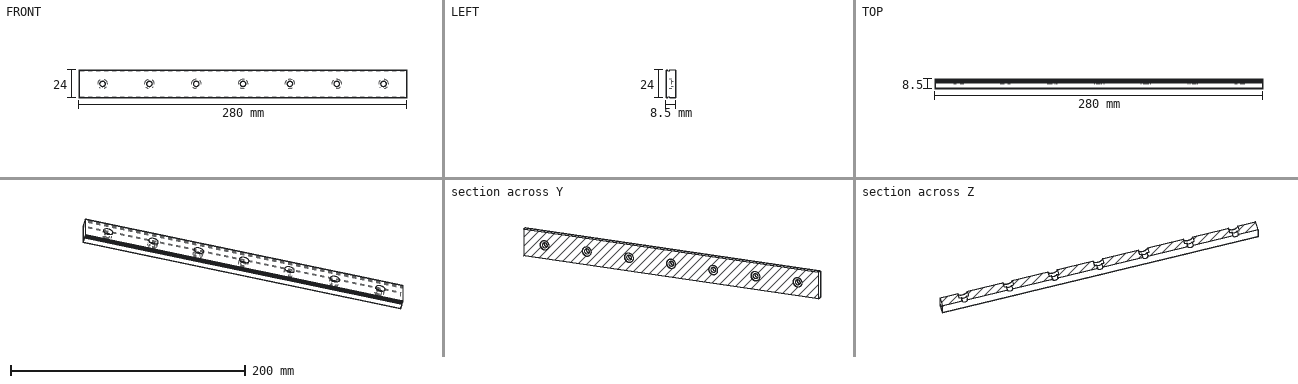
import cadquery as cq

length = 280
thickness = 8.5
width = 24.0
edge_chamfer = 0.5

groove_offset_y = 2.1
groove_depth = 0.8
groove_mouth = 2.2
groove_floor = 1.0

hole_count = 7
hole_pitch = length / hole_count
hole_diameter = 4.5
counterbore_diameter = 8.0
counterbore_depth = 4.5


def rail_body():
    body = cq.Workplane("XY").box(length, thickness, width)
    return body.edges("|X").chamfer(edge_chamfer)


def running_groove():
    """Groove along the +Z edge: a trapezoid narrowing towards its floor."""
    mouth_z = width / 2
    floor_z = mouth_z - groove_depth
    profile = [
        (groove_offset_y - groove_mouth / 2, mouth_z),
        (groove_offset_y - groove_floor / 2, floor_z),
        (groove_offset_y + groove_floor / 2, floor_z),
        (groove_offset_y + groove_mouth / 2, mouth_z),
    ]
    return (
        cq.Workplane("YZ", origin=(-length / 2, 0, 0))
        .polyline(profile)
        .close()
        .extrude(length)
    )


def drill_mounting_holes(body):
    return (
        body.faces(">Y")
        .workplane(origin=(0, thickness / 2, 0))
        .rarray(hole_pitch, 2.8, hole_count, 1)
        .cboreHole(hole_diameter, counterbore_diameter, counterbore_depth)
    )


top_groove = running_groove()
bottom_groove = top_groove.mirror("XY")
result = drill_mounting_holes(rail_body()).cut(top_groove).cut(bottom_groove)